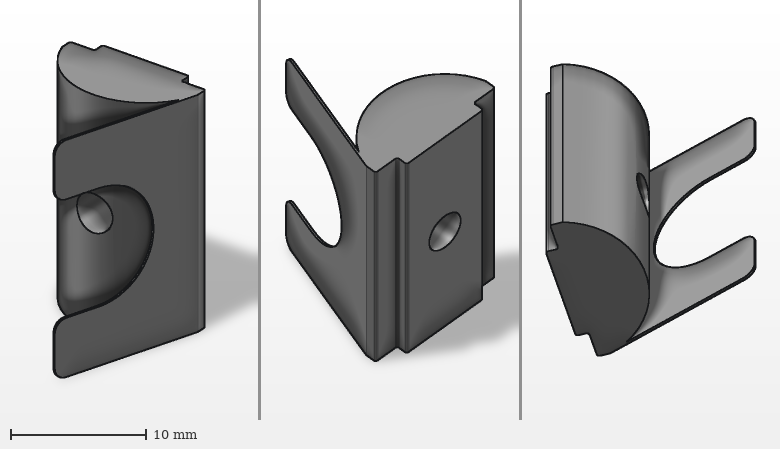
import cadquery as cq
import math

height = 20.0
body_width = 12.5
pad_width = 8.0
pad_depth = 1.0
side_end = 2.0
edge_radius = 0.2
hole_diameter = 3.3

flap_length = 13.0
flap_thickness = 0.2
flap_corner_radius = 1.0
slot_width = 10.0
slot_center_from_tip = 4.0

half_width = body_width / 2
half_pad = pad_width / 2
body_radius = math.hypot(half_width, side_end)
flap_angle = math.atan2(side_end, half_width)


def make_body():
    profile = (
        cq.Workplane("XY")
        .moveTo(-half_width, -side_end)
        .threePointArc((0, -body_radius), (half_width, -side_end))
        .lineTo(half_width, -pad_depth)
        .lineTo(half_pad, -pad_depth)
        .lineTo(half_pad, 0)
        .lineTo(-half_pad, 0)
        .lineTo(-half_pad, -pad_depth)
        .lineTo(-half_width, -pad_depth)
        .close()
    )
    bar = profile.extrude(height)
    back_edges = cq.selectors.BoxSelector(
        (-body_width, -side_end + edge_radius, -height),
        (body_width, edge_radius, 2 * height),
    )
    return bar.edges("|Z").edges(back_edges).fillet(edge_radius)


def make_flap():
    outer_face = cq.Plane(
        origin=(half_width, -side_end, height / 2),
        xDir=(-math.sin(flap_angle), -math.cos(flap_angle), 0),
        normal=(-math.cos(flap_angle), math.sin(flap_angle), 0),
    )
    sheet = (
        cq.Workplane(outer_face)
        .center(flap_length / 2, 0)
        .rect(flap_length, height)
        .extrude(flap_thickness)
    )
    slot_radius = slot_width / 2
    slot_center = flap_length - slot_center_from_tip
    slot = (
        cq.Workplane(outer_face)
        .moveTo(flap_length, slot_radius)
        .lineTo(slot_center, slot_radius)
        .threePointArc((slot_center - slot_radius, 0), (slot_center, -slot_radius))
        .lineTo(flap_length, -slot_radius)
        .close()
        .extrude(flap_thickness)
    )
    tip_faces = sheet.cut(slot).faces(cq.selectors.DirectionMinMaxSelector(outer_face.xDir))
    tip_corners = tip_faces.edges(cq.selectors.ParallelDirSelector(outer_face.zDir))
    return tip_corners.fillet(flap_corner_radius)


def make_hole():
    return (
        cq.Workplane("XZ", origin=(0, 0, height / 2))
        .circle(hole_diameter / 2)
        .extrude(body_radius)
    )


result = make_body().union(make_flap()).cut(make_hole())